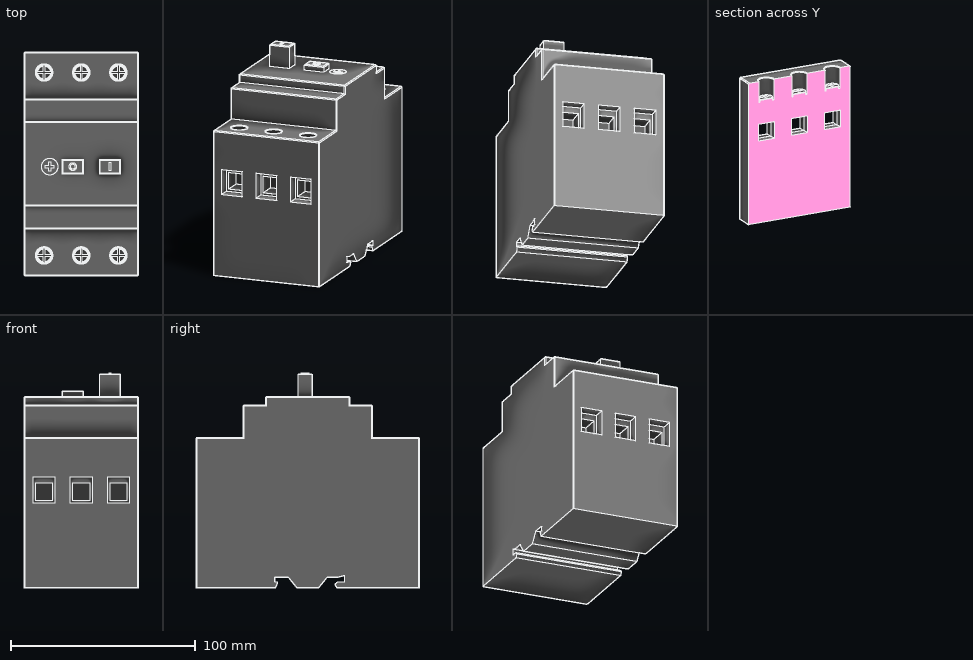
import cadquery as cq

body_width = 62.0
body_length = 121.0
shoulder_height = 81.4
middle_length = 70.2
middle_height = 98.9
top_length = 45.7
top_height = 103.5
overall_height = 116.2
edge_chamfer = 0.55

pole_pitch = 20.1
pole_positions = (-pole_pitch, 0, pole_pitch)

screw_offset_y = 49.5
screw_hole_diameter = 8.7
screw_hole_chamfer = 0.4
screw_hole_depth = 12.1
screw_head_diameter = 8.0
screw_head_height = 2.4
screw_head_chamfer = 0.5
screw_slot_width = 1.0
screw_slot_depth = 1.2

pocket_width = 12.0
pocket_bottom = 46.0
pocket_height = 14.0
pocket_depth = 7.3
clamp_size = 9.3
clamp_bottom = 47.3
clamp_depth = 18.2

control_y = -1.5
button_width = 11.5
button_length = 7.9
button_chamfer = 0.5
stop_button_x = -4.6
stop_button_top = 106.6
start_button_x = stop_button_x + pole_pitch
start_mark_height = 0.4
start_button_top = overall_height - start_mark_height
start_mark_length = 4.4
start_mark_width = 1.0
stop_ring_diameter = 4.1
stop_ring_width = 0.7
engraving_depth = 0.1

dial_x = -17.1
dial_diameter = 9.0
dial_cross_length = 4.8
dial_cross_width = 1.2
dial_cross_depth = 0.4

rail_roof = 5.7
rail_hook_ledge = 3.1
foot_tip_half_width = 5.9
foot_root_half_width = 10.5
fixed_hook_back = 17.8
fixed_hook_tip = 16.3
fixed_hook_tip_bottom = 2.4
fixed_hook_mouth = 17.4
latch_back = 19.8
latch_roof = 6.5
latch_roof_front = 16.5
latch_shoulder = 16.1
latch_tip = 14.6
latch_tip_height = 1.8
latch_mouth = 15.7


def box(width, length, height, x, y, bottom):
    """Box centred on (x, y) and standing on the given height."""
    return cq.Workplane("XY").box(width, length, height, centered=(True, True, False)).translate((x, y, bottom))


def cross(length, width, depth, x, y, bottom):
    """Two crossed bars of equal length."""
    return box(length, width, depth, x, y, bottom).union(box(width, length, depth, x, y, bottom))


def make_housing():
    """Three stacked tiers, each chamfered on its vertical and upper edges."""
    tiers = (
        (body_length, shoulder_height),
        (middle_length, middle_height),
        (top_length, top_height),
    )
    housing = None
    for length, height in tiers:
        block = box(body_width, length, height, 0, 0, 0)
        block = block.edges("|Z or >Z").chamfer(edge_chamfer)
        housing = block if housing is None else housing.union(block)
    return housing


def extrude_across(points):
    """Closed outline in the YZ plane, extruded over the full body width."""
    return cq.Workplane("YZ").polyline(points).close().extrude(body_width / 2, both=True)


def make_rail_seat():
    """Two undercut channels; a tapered foot is left standing between them."""
    fixed_side = [
        (-foot_tip_half_width, 0),
        (-foot_root_half_width, rail_roof),
        (-fixed_hook_back, rail_roof),
        (-fixed_hook_back, rail_hook_ledge),
        (-fixed_hook_tip, rail_hook_ledge),
        (-fixed_hook_tip, fixed_hook_tip_bottom),
        (-fixed_hook_mouth, 0),
    ]
    latch_side = [
        (foot_tip_half_width, 0),
        (foot_root_half_width, rail_roof),
        (latch_roof_front, rail_roof),
        (latch_back, latch_roof),
        (latch_back, rail_hook_ledge),
        (latch_shoulder, rail_hook_ledge),
        (latch_tip, latch_tip_height),
        (latch_mouth, 0),
    ]
    return extrude_across(fixed_side).union(extrude_across(latch_side))


def make_terminal_cavity(x, end):
    """Screw hole with its slotted screw, and the stepped wire pocket."""
    y = end * screw_offset_y
    floor = shoulder_height - screw_hole_depth
    radius = screw_hole_diameter / 2
    straight_depth = screw_hole_depth - screw_hole_chamfer
    hole = (
        cq.Workplane("XZ")
        .polyline([(0, 0), (radius, 0), (radius, straight_depth),
                   (radius + screw_hole_chamfer, screw_hole_depth), (0, screw_hole_depth)])
        .close()
        .revolve(360, (0, 0), (0, 1))
        .translate((x, y, floor))
    )
    head = cq.Workplane("XY").circle(screw_head_diameter / 2).extrude(screw_head_height)
    head = head.faces(">Z").edges().chamfer(screw_head_chamfer).translate((x, y, floor))
    slot_floor = floor + screw_head_height - screw_slot_depth
    head = head.cut(cross(screw_head_diameter, screw_slot_width, screw_slot_depth, x, y, slot_floor))
    pocket_y = end * (body_length - pocket_depth) / 2
    pocket = box(pocket_width, pocket_depth, pocket_height, x, pocket_y, pocket_bottom)
    clamp_y = end * (body_length - clamp_depth) / 2
    clamp = box(clamp_size, clamp_depth, clamp_size, x, clamp_y, clamp_bottom)
    return hole.cut(head).union(pocket).union(clamp)


def make_button(x, top):
    """Rectangular push button standing on the top face."""
    button = box(button_width, button_length, top - top_height, x, control_y, top_height)
    return button.faces(">Z").edges().chamfer(button_chamfer)


def make_stop_mark():
    """Ring engraved in the top of the stop button."""
    ring = cq.Workplane("XY").circle(stop_ring_diameter / 2).circle(stop_ring_diameter / 2 - stop_ring_width)
    return ring.extrude(engraving_depth).translate((stop_button_x, control_y, stop_button_top - engraving_depth))


def make_start_mark():
    """Raised bar on the start button, the highest point of the part."""
    return box(start_mark_width, start_mark_length, start_mark_height, start_button_x, control_y, start_button_top)


def make_dial():
    """Shallow round recess with a cross sunk into its floor."""
    floor = top_height - engraving_depth
    disc = cq.Workplane("XY").circle(dial_diameter / 2).extrude(engraving_depth)
    disc = disc.translate((dial_x, control_y, floor))
    return disc.union(cross(dial_cross_length, dial_cross_width, dial_cross_depth,
                            dial_x, control_y, floor - dial_cross_depth))


result = make_housing().cut(make_rail_seat())
for pole_x in pole_positions:
    for end in (-1, 1):
        result = result.cut(make_terminal_cavity(pole_x, end))
result = result.cut(make_dial())
result = result.union(make_button(stop_button_x, stop_button_top)).cut(make_stop_mark())
result = result.union(make_button(start_button_x, start_button_top)).union(make_start_mark())